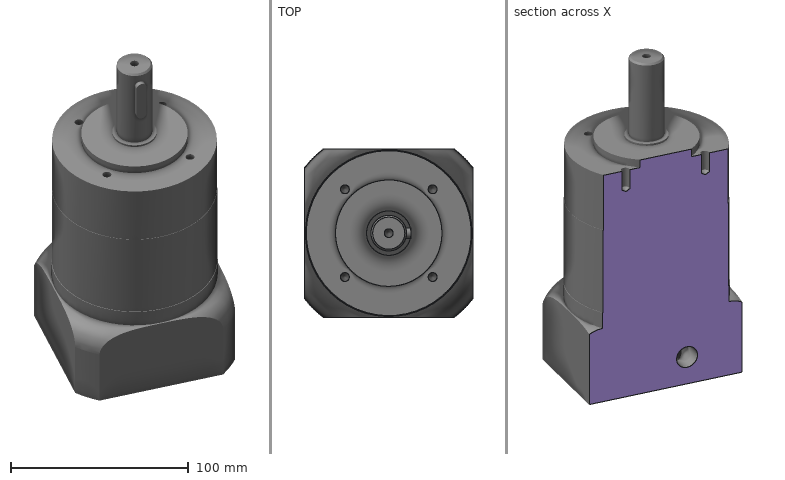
import cadquery as cq
import math

TOTAL_HEIGHT = 198.5
BASE_TOP = 46.6
RING_TOP = 56.4
HOUSING_TOP = 108.5
HEAD_TOP = 143.3
PILOT_TOP = 148.0
COLLAR_TOP = 149.3

RING_DIAMETER = 93.9
HOUSING_DIAMETER = 93.3
HEAD_DIAMETER = 92.9
PILOT_DIAMETER = 60.0
COLLAR_DIAMETER = 25.0
SHAFT_DIAMETER = 20.0
SHAFT_CHAMFER = 1.0

BASE_SIDE = 95.0
BASE_CORNER_DIAMETER = 120.0
BASE_EDGE_RADIUS = 13.3

KEY_WIDTH = 6.0
KEY_LENGTH = 24.8
KEY_BOTTOM = 168.3
KEY_OUTER_X = 12.5
KEY_INNER_X = 6.0

DRILL_POINT_ANGLE = 118.0
BOLT_CIRCLE_DIAMETER = 69.9
BOLT_COUNT = 4
FIRST_BOLT_ANGLE = 45.0
BOLT_HOLE_DIAMETER = 5.0
BOLT_HOLE_DEPTH = 12.0
CENTER_HOLE_DIAMETER = 5.0
CENTER_HOLE_DEPTH = 12.0
SIDE_HOLE_DIAMETER = 12.7
SIDE_HOLE_Y = -13.3
SIDE_HOLE_Z = 17.0
HUB_DIAMETER = 39.7


def disc(diameter, bottom, top):
    """Round section centred on Z between two levels."""
    return cq.Workplane("XY").workplane(offset=bottom).circle(diameter / 2).extrude(top - bottom)


def drill(diameter, depth):
    """Blind drill entering the origin along -Z, with a conical point below the full depth."""
    radius = diameter / 2
    point_length = radius / math.tan(math.radians(DRILL_POINT_ANGLE / 2))
    profile = [(0, 0), (radius, 0), (radius, -depth), (0, -depth - point_length)]
    return cq.Workplane("XZ").polyline(profile).close().revolve(360, (0, 0), (0, 1))


def make_base():
    """Square flange whose corners and upper edge follow the turned blank."""
    square = cq.Workplane("XY").rect(BASE_SIDE, BASE_SIDE).extrude(BASE_TOP)
    blank = disc(BASE_CORNER_DIAMETER, 0, BASE_TOP).faces(">Z").edges().fillet(BASE_EDGE_RADIUS)
    return square.intersect(blank)


def make_shaft():
    """Output shaft with a chamfered end."""
    return disc(SHAFT_DIAMETER, COLLAR_TOP, TOTAL_HEIGHT).faces(">Z").chamfer(SHAFT_CHAMFER)


def make_key():
    """Round-ended key set into the +X side of the shaft."""
    return (
        cq.Workplane("YZ")
        .workplane(offset=KEY_INNER_X)
        .center(0, KEY_BOTTOM + KEY_LENGTH / 2)
        .slot2D(KEY_LENGTH, KEY_WIDTH, 90)
        .extrude(KEY_OUTER_X - KEY_INNER_X)
    )


body = (
    make_base()
    .union(disc(RING_DIAMETER, BASE_TOP, RING_TOP))
    .union(disc(HOUSING_DIAMETER, RING_TOP, HOUSING_TOP))
    .union(disc(HEAD_DIAMETER, HOUSING_TOP, HEAD_TOP))
    .union(disc(PILOT_DIAMETER, HEAD_TOP, PILOT_TOP))
    .union(disc(COLLAR_DIAMETER, PILOT_TOP, COLLAR_TOP))
    .union(make_shaft())
    .union(make_key())
)

for index in range(BOLT_COUNT):
    angle = math.radians(FIRST_BOLT_ANGLE + index * 360 / BOLT_COUNT)
    bolt_x = BOLT_CIRCLE_DIAMETER / 2 * math.cos(angle)
    bolt_y = BOLT_CIRCLE_DIAMETER / 2 * math.sin(angle)
    body = body.cut(drill(BOLT_HOLE_DIAMETER, BOLT_HOLE_DEPTH).translate((bolt_x, bolt_y, HEAD_TOP)))

body = body.cut(drill(CENTER_HOLE_DIAMETER, CENTER_HOLE_DEPTH).translate((0, 0, TOTAL_HEIGHT)))

access_hole = (
    cq.Workplane("YZ")
    .workplane(offset=-BASE_SIDE / 2)
    .center(SIDE_HOLE_Y, SIDE_HOLE_Z)
    .circle(SIDE_HOLE_DIAMETER / 2)
    .extrude(BASE_SIDE / 2)
)
result = body.cut(access_hole.cut(disc(HUB_DIAMETER, 0, BASE_TOP)))